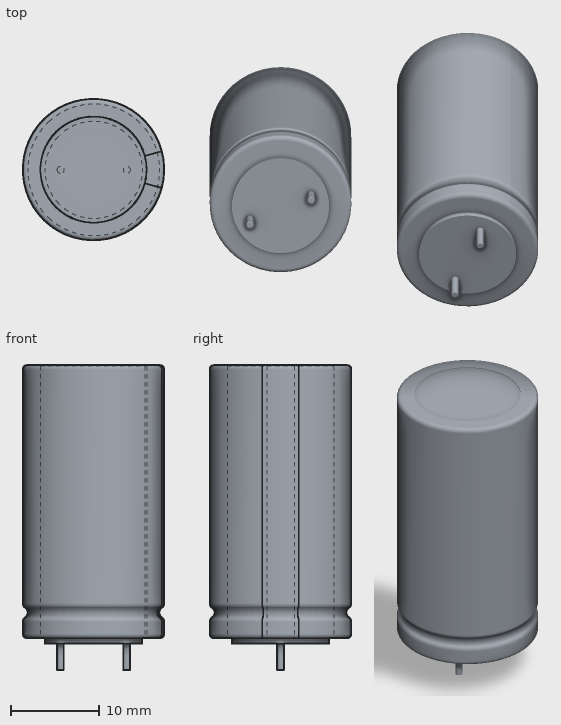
import cadquery as cq
import math

outer_diameter = 16.0
total_height = 34.5
rim_fillet = 0.5

sleeve_bottom = 3.62
core_diameter = 12.0
top_recess = 0.07

groove_center_z = 6.52
groove_shoulder_height = 0.52
groove_half_height = 0.52
groove_edge_diameter = 15.4
groove_floor_diameter = 14.9

stripe_angle = 30.0

base_diameter = 11.0
base_bottom = 3.0
lead_diameter = 0.8
lead_pitch = 7.5
lead_tip_fillet = 0.1

outer_radius = outer_diameter / 2
core_radius = core_diameter / 2
edge_radius = groove_edge_diameter / 2
floor_radius = groove_floor_diameter / 2


def shoulder_middle(direction):
    """Middle of the rounded shoulder above (+1) or below (-1) the groove."""
    drop = outer_radius - edge_radius
    sweep = 2 * math.atan2(drop, groove_shoulder_height)
    shoulder_radius = groove_shoulder_height / math.sin(sweep)
    start_z = groove_half_height + groove_shoulder_height
    middle_r = outer_radius - shoulder_radius * (1 - math.cos(sweep / 2))
    middle_z = start_z - shoulder_radius * math.sin(sweep / 2)
    return (middle_r, groove_center_z + direction * middle_z)


def make_sleeve_sector(start_angle, sweep_angle):
    """Sector of the grooved sleeve, revolved about Z from start_angle in degrees."""
    shoulder_offset = groove_half_height + groove_shoulder_height
    corner_inset = rim_fillet * (1 - math.sqrt(0.5))
    corner_radius = outer_radius - corner_inset
    rim_radius = outer_radius - rim_fillet
    profile = (
        cq.Workplane("XZ")
        .moveTo(core_radius, sleeve_bottom)
        .lineTo(rim_radius, sleeve_bottom)
        .threePointArc(
            (corner_radius, sleeve_bottom + corner_inset),
            (outer_radius, sleeve_bottom + rim_fillet),
        )
        .lineTo(outer_radius, groove_center_z - shoulder_offset)
        .threePointArc(shoulder_middle(-1), (edge_radius, groove_center_z - groove_half_height))
        .threePointArc(
            (floor_radius, groove_center_z),
            (edge_radius, groove_center_z + groove_half_height),
        )
        .threePointArc(shoulder_middle(1), (outer_radius, groove_center_z + shoulder_offset))
        .lineTo(outer_radius, total_height - rim_fillet)
        .threePointArc(
            (corner_radius, total_height - corner_inset),
            (rim_radius, total_height),
        )
        .lineTo(core_radius, total_height)
        .close()
    )
    sector = profile.revolve(sweep_angle, (0, 0), (0, 1))
    return sector.rotate((0, 0, 0), (0, 0, 1), start_angle)


def make_core():
    """Metal can filling the sleeve, slightly recessed at the top."""
    core_height = total_height - top_recess - sleeve_bottom
    return cq.Workplane("XY").workplane(offset=sleeve_bottom).circle(core_radius).extrude(core_height)


def make_base():
    """Sealing disc under the can."""
    base_height = sleeve_bottom - base_bottom
    return cq.Workplane("XY").workplane(offset=base_bottom).circle(base_diameter / 2).extrude(base_height)


def make_lead(x):
    """Round lead with a rounded tip, butting against the base."""
    lead = cq.Workplane("XY").center(x, 0).circle(lead_diameter / 2).extrude(base_bottom)
    return lead.faces("<Z").edges().fillet(lead_tip_fillet)


stripe = make_sleeve_sector(-stripe_angle / 2, stripe_angle)
sleeve = make_sleeve_sector(stripe_angle / 2, 360 - stripe_angle)
core = make_core()
base = make_base()
leads = [make_lead(side * lead_pitch / 2) for side in (-1, 1)]

result = cq.Compound.makeCompound(
    [sleeve.val(), stripe.val(), core.val(), base.val(), *[lead.val() for lead in leads]]
)